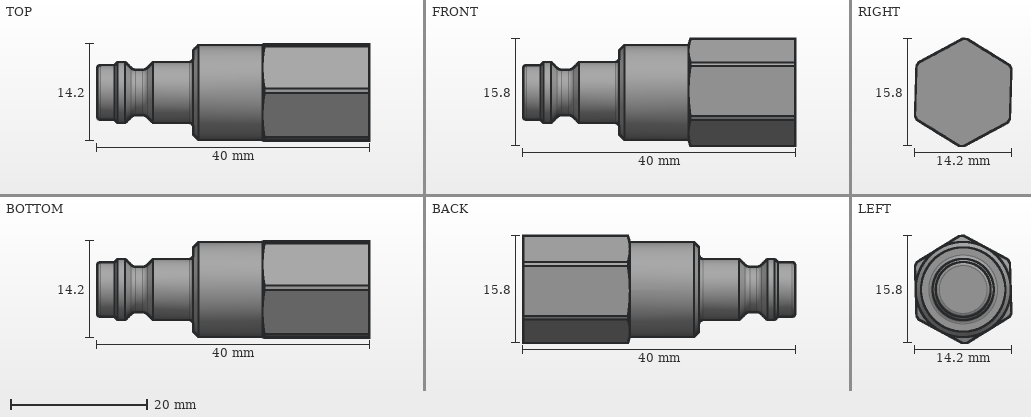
import cadquery as cq
import math

collar_start = 2.55
collar_end = 4.1
shank_start = 8.25
body_start = 14.1
hex_start = 24.3
length = 40.0

nose_radius = 8.1 / 2
shank_radius = 9.0 / 2
groove_radius = 6.7 / 2
body_radius = 14.0 / 2

nose_fillet = 0.5
groove_fillet = 1.0
shoulder_fillet = 0.55
body_chamfer = 0.8

hex_across_flats = 2 * body_radius
hex_corner_radius = 15.8 / 2
hex_lead_in = 0.3
hex_turn = -1.7

diagonal = math.sqrt(0.5)
half_sweep = math.radians(45) / 2


def turned_plug():
    """Nose, locking collar, groove, shank and body as one revolved outline."""
    collar_rise = shank_radius - nose_radius
    groove_depth = shank_radius - groove_radius
    floor_start = collar_end + groove_depth
    floor_end = shank_start - groove_depth
    tangent = groove_fillet * math.tan(half_sweep)
    arc_width = groove_fillet * diagonal
    arc_top = groove_radius + groove_fillet * (1 - diagonal)
    arc_mid_x = groove_fillet * math.sin(half_sweep)
    arc_mid_radius = groove_radius + groove_fillet * (1 - math.cos(half_sweep))
    left_arc_end = floor_start + tangent
    right_arc_start = floor_end - tangent
    nose_mid = nose_fillet * (1 - diagonal)
    shoulder_mid = shoulder_fillet * (1 - diagonal)

    return (
        cq.Workplane("XY")
        .moveTo(0, 0)
        .lineTo(0, nose_radius - nose_fillet)
        .threePointArc((nose_mid, nose_radius - nose_mid), (nose_fillet, nose_radius))
        .lineTo(collar_start, nose_radius)
        .lineTo(collar_start + collar_rise, shank_radius)
        .lineTo(collar_end, shank_radius)
        .lineTo(left_arc_end - arc_width, arc_top)
        .threePointArc((left_arc_end - arc_mid_x, arc_mid_radius), (left_arc_end, groove_radius))
        .lineTo(right_arc_start, groove_radius)
        .threePointArc((right_arc_start + arc_mid_x, arc_mid_radius), (right_arc_start + arc_width, arc_top))
        .lineTo(shank_start, shank_radius)
        .lineTo(body_start - shoulder_fillet, shank_radius)
        .threePointArc(
            (body_start - shoulder_mid, shank_radius + shoulder_mid),
            (body_start, shank_radius + shoulder_fillet),
        )
        .lineTo(body_start, body_radius - body_chamfer)
        .lineTo(body_start + body_chamfer, body_radius)
        .lineTo(hex_start, body_radius)
        .lineTo(hex_start, 0)
        .close()
        .revolve(360, (0, 0, 0), (1, 0, 0))
    )


def hexagon():
    """Hexagon with corners rounded by a cylinder and a conical lead-in."""
    sharp_radius = hex_across_flats / 2 / math.cos(math.radians(30))
    corner_angles = [math.radians(90 + hex_turn + 60 * i) for i in range(6)]
    corners = [(sharp_radius * math.cos(a), sharp_radius * math.sin(a)) for a in corner_angles]
    prism = (
        cq.Workplane("YZ", origin=(hex_start, 0, 0))
        .polyline(corners)
        .close()
        .extrude(length - hex_start)
    )
    envelope = (
        cq.Workplane("XY")
        .moveTo(hex_start, 0)
        .lineTo(hex_start, body_radius)
        .lineTo(hex_start + hex_lead_in, hex_corner_radius)
        .lineTo(length, hex_corner_radius)
        .lineTo(length, 0)
        .close()
        .revolve(360, (0, 0, 0), (1, 0, 0))
    )
    return prism.intersect(envelope)


result = turned_plug().union(hexagon())